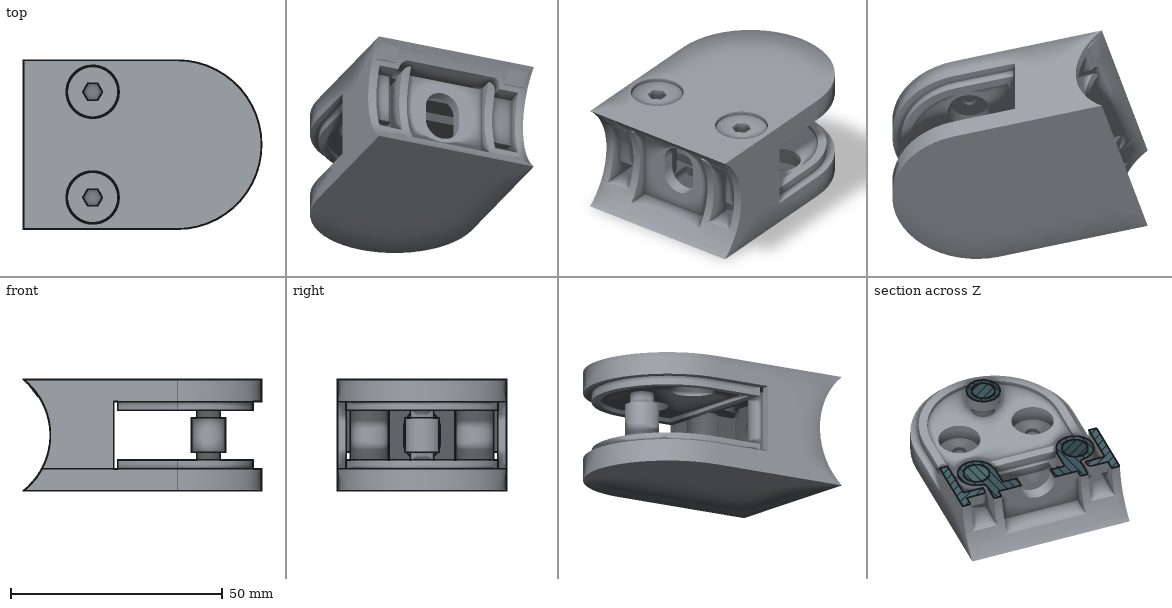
import cadquery as cq
import math


width = 40.0
half_width = width / 2
height = 26.4
mid_z = height / 2
glass_side_length = 50.0
post_radius = 16.85
saddle_depth = post_radius - math.sqrt(post_radius**2 - mid_z**2)
length = glass_side_length + saddle_depth
post_axis_x = saddle_depth - post_radius
round_center_x = length - half_width

plate_thickness = 5.25
plate_top = plate_thickness
ceiling = height - plate_thickness
pad_start = 22.3
pad_margin = 2.0
pad_height = 2.1
pad_rim = 2.0
pad_recess_depth = 1.0
pad_recess_z = plate_top + pad_height - pad_recess_depth

pocket_radius = 5.0
pocket_x = 35.6
pocket_y = 9.3
pocket_floor = 2.55
pocket_hole_radius = 1.65
pocket_hole_depth = 1.0

pin_x = 43.8
pin_radius = 2.83
sleeve_radius = 4.05
sleeve_length = 8.15

wall_thickness = 2.1
body_end = 21.4
cavity_half_width = half_width - wall_thickness
clearance = 1.0
corner_radius = 2.0
rib_front = 8.8
rib_back = 11.0
rib_bottom = 9.2
rib_edge_radius = 1.0

block_half_width = 12.0
block_top = 22.2
block_pocket_half_width = 10.0
block_floor = 3.1
web_front = 8.3
web_back = 11.3
slot_width = 8.5
slot_height = 12.0
channel_half_width = 7.8
channel_edge_radius = 1.0
arch_half_width = block_half_width + clearance
arch_top = block_top + clearance
arch_back_radius = 1.0

screw_x = 16.4
screw_y = 12.5
head_radius = 6.0
head_top = height - 0.7
head_seat = 22.4
seat_radius = 6.25
seat_boss_radius = 7.0
boss_shoulder_y = 9.5
shank_radius = 3.0
shank_end = 4.0
hex_across_corners = 4.62
hex_depth = 2.5
screw_post_radius = 4.5
screw_post_top = ceiling - clearance
post_fillet_radius = 0.9

label_inner_y = 13.95
label_outer_y = 19.05
label_bottom = 22.3
label_top = 25.4
label_step = 0.2
label_root = 0.6


def box(x0, x1, y0, y1, z0, z1):
    """Axis-parallel block between two corners."""
    return cq.Workplane("XY").box(x1 - x0, y1 - y0, z1 - z0, centered=False).translate((x0, y0, z0))


def cylinder(x, y, radius, z0, z1):
    """Upright cylinder."""
    return cq.Workplane("XY").circle(radius).extrude(z1 - z0).translate((x, y, z0))


def d_slab(x_start, radius, z0, z1):
    """Slab with a straight end at x_start and a semicircular far end of the given radius."""
    outline = (
        cq.Workplane("XY")
        .moveTo(x_start, -radius)
        .lineTo(round_center_x, -radius)
        .threePointArc((round_center_x + radius, 0), (round_center_x, radius))
        .lineTo(x_start, radius)
        .close()
    )
    return outline.extrude(z1 - z0).translate((0, 0, z0))


def saddle_x(z):
    """X of the saddle surface at height z."""
    return post_axis_x + math.sqrt(post_radius**2 - (z - mid_z)**2)


def cut_saddle(body):
    """Hollow the post end to the round post."""
    post = cq.Workplane("XZ").center(post_axis_x, mid_z).circle(post_radius).extrude(half_width, both=True)
    return body.cut(post)


def plate_with_pad():
    """Bottom plate with its raised, rimmed pad, round pockets and pin socket."""
    pad_radius = half_width - pad_margin
    pad_top = plate_top + pad_height
    plate = d_slab(0, half_width, 0, plate_top)
    plate = plate.union(d_slab(pad_start, pad_radius, plate_top, pad_top))
    plate = plate.cut(d_slab(pad_start + pad_rim, pad_radius - pad_rim, pad_recess_z, pad_top))
    for side in (-1, 1):
        plate = plate.cut(cylinder(pocket_x, side * pocket_y, pocket_radius, pocket_floor, pad_top))
        hole_floor = pocket_floor - pocket_hole_depth
        plate = plate.cut(cylinder(pocket_x, side * pocket_y, pocket_hole_radius, hole_floor, pocket_floor))
    return plate.cut(cylinder(pin_x, 0, pin_radius, pocket_floor, pad_top))


def side_rib(side):
    """Rib on the inside of one upper side wall, rounded along its inner front edge."""
    rib = box(rib_front, rib_back, arch_half_width, cavity_half_width, rib_bottom, ceiling)
    rib = rib.edges("|Z and <X and <Y").fillet(rib_edge_radius)
    return rib if side > 0 else rib.mirror("XZ")


def label_plate(side):
    """Thin flat label plate standing on the saddle surface."""
    bottom_x = saddle_x(label_bottom)
    top_x = saddle_x(label_top)
    plate = (
        cq.Workplane("XZ")
        .moveTo(top_x, label_top)
        .lineTo(bottom_x - label_step, label_bottom)
        .lineTo(bottom_x + label_root, label_bottom)
        .lineTo(top_x + label_root, label_top)
        .close()
        .extrude(label_outer_y - label_inner_y)
        .translate((0, -label_inner_y, 0))
    )
    return plate if side < 0 else plate.mirror("XZ")


def raised_ceiling():
    """Space above the lower block: a high ceiling bounded at the back by the screw seat bosses."""
    space = box(0, screw_x, -arch_half_width, arch_half_width, ceiling, arch_top)
    space = space.edges("|X and >Z").fillet(corner_radius)
    shoulder_x = screw_x - math.sqrt(seat_boss_radius**2 - (screw_y - boss_shoulder_y)**2)
    for side in (-1, 1):
        shoulder = sorted((side * boss_shoulder_y, side * arch_half_width))
        space = space.cut(cylinder(screw_x, side * screw_y, seat_boss_radius, ceiling, arch_top))
        space = space.cut(box(shoulder_x, screw_x, *shoulder, ceiling, arch_top))
    back_edges = cq.selectors.BoxSelector(
        (shoulder_x - arch_back_radius, -arch_half_width, arch_top - arch_back_radius),
        (screw_x + arch_back_radius, arch_half_width, arch_top + arch_back_radius),
    )
    return space.faces(">Z").edges(back_edges).fillet(arch_back_radius)


def make_upper():
    """Upper half: mirrored plate plus the hollow body that reaches down to the parting plane."""
    upper = plate_with_pad().mirror("XY").translate((0, 0, height))
    upper = upper.union(box(0, body_end, -half_width, half_width, plate_top, ceiling))
    upper = upper.cut(box(0, body_end, -cavity_half_width, cavity_half_width, plate_top, ceiling))

    upper = upper.cut(raised_ceiling())

    for side in (-1, 1):
        y = side * screw_y
        upper = upper.union(side_rib(side))
        upper = upper.cut(cylinder(screw_x, y, seat_radius, head_seat, height))
        upper = upper.cut(cylinder(screw_x, y, shank_radius, ceiling, head_seat))

    upper = cut_saddle(upper)
    for side in (-1, 1):
        upper = upper.union(label_plate(side))
    return upper


def post_fillet(side):
    """Concave fillet between the flank of the block and the front of one screw post."""
    post_front = screw_x - screw_post_radius
    start_x = post_front - post_fillet_radius
    outer_y = block_half_width + post_fillet_radius
    filler = box(start_x, screw_x, block_half_width, outer_y, plate_top, screw_post_top)
    filler = filler.cut(cylinder(start_x, outer_y, post_fillet_radius, plate_top, screw_post_top))
    return filler if side > 0 else filler.mirror("XZ")


def make_lower():
    """Lower half: plate, open-topped block with the slotted web, and the screw posts."""
    lower = plate_with_pad()

    block = box(0, web_back, -block_half_width, block_half_width, plate_top, block_top)
    lower = lower.union(block.edges("|X and >Z").fillet(corner_radius))
    lower = lower.cut(
        box(0, web_front, -block_pocket_half_width, block_pocket_half_width, block_floor, block_top)
    )

    channel = box(web_back, body_end, -channel_half_width, channel_half_width, block_floor, plate_top)
    lower = lower.cut(channel.edges("|X and <Z").fillet(channel_edge_radius))

    slot = cq.Workplane("YZ").center(0, mid_z).slot2D(slot_height, slot_width, 90).extrude(web_back)
    lower = lower.cut(slot)

    for side in (-1, 1):
        y = side * screw_y
        flank = sorted((side * channel_half_width, side * block_half_width))
        lower = lower.union(box(web_back, screw_x, *flank, plate_top, screw_post_top))
        lower = lower.union(post_fillet(side))
        lower = lower.cut(cylinder(screw_x, y, seat_boss_radius + clearance, screw_post_top, block_top))
        lower = lower.union(cylinder(screw_x, y, screw_post_radius, plate_top, screw_post_top))
        lower = lower.cut(cylinder(screw_x, y, shank_radius, shank_end, screw_post_top))

    return cut_saddle(lower)


def make_screw(side):
    """Socket screw with a flat cylindrical head."""
    y = side * screw_y
    screw = cylinder(screw_x, y, shank_radius, shank_end, head_seat)
    screw = screw.union(cylinder(screw_x, y, head_radius, head_seat, head_top))
    socket = cq.Workplane("XY").polygon(6, hex_across_corners).extrude(hex_depth)
    return screw.cut(socket.translate((screw_x, y, head_top - hex_depth)))


def make_pin():
    """Plain safety pin held in the sockets of both plates."""
    return cylinder(pin_x, 0, pin_radius, pocket_floor, height - pocket_floor)


def make_sleeve():
    """Sleeve on the middle of the safety pin."""
    bottom = mid_z - sleeve_length / 2
    top = mid_z + sleeve_length / 2
    return cylinder(pin_x, 0, sleeve_radius, bottom, top).cut(cylinder(pin_x, 0, pin_radius, bottom, top))


upper = make_upper()
lower = make_lower()
screws = [make_screw(side) for side in (-1, 1)]
pin = make_pin()
sleeve = make_sleeve()

bodies = [upper, lower, *screws, pin, sleeve]
result = cq.Compound.makeCompound([body.solids().val() for body in bodies])